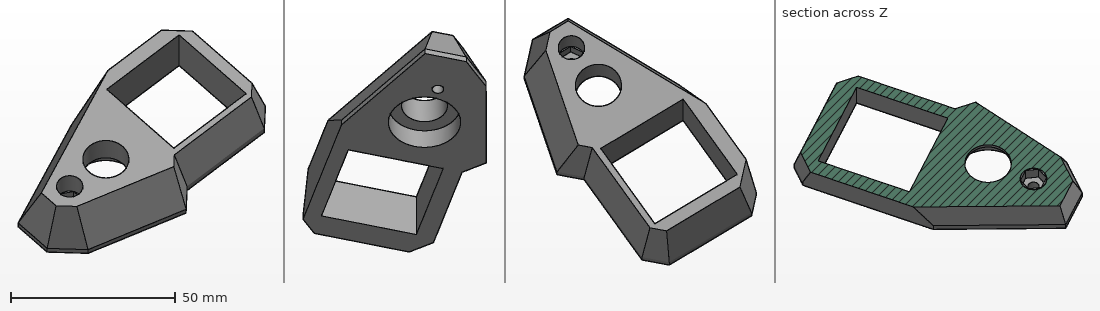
import cadquery as cq
import math

width = 47.0
length = 85.0
height = 16.0
rim_height = 2.0

upright = 0.0
upper_lean = 4.0
lower_lean = 6.0
flank_lean = 7.0

head_right = 41.0
shoulder_y = 47.0
left_corner = 5.0
right_corner = 6.0
shoulder_step = width - head_right
left_bend_y = 37.0
nose_left = 16.0
nose_right = 29.0
nose_chamfer = 8.8

window_size = 30.0
window_left = 5.0
window_bottom = 47.0
hole_x = 24.0
button_y = 29.0
button_diameter = 14.0
button_recess_diameter = 22.0
button_recess_depth = 7.0
screw_y = 14.0
screw_diameter = 3.5
screw_head_diameter = 8.0
screw_head_depth = 8.0
hex_depth = 4.0
hex_sides = 6

footprint = [
    ((0, length - left_corner), upper_lean),
    ((left_corner, length), upper_lean),
    ((head_right - right_corner, length), upper_lean),
    ((head_right, length - right_corner), upper_lean),
    ((head_right, shoulder_y), upper_lean),
    ((width, shoulder_y - shoulder_step), flank_lean),
    ((nose_right + nose_chamfer, nose_chamfer), lower_lean),
    ((nose_right, 0), lower_lean),
    ((nose_left, 0), lower_lean),
    ((0, left_bend_y), upright),
]


def inset_line(start, end, inset):
    """Line through a clockwise edge moved inward, as (a, b, c) in a*x + b*y = c."""
    dx = end[0] - start[0]
    dy = end[1] - start[1]
    edge_length = math.hypot(dx, dy)
    a = dy / edge_length
    b = -dx / edge_length
    return a, b, a * start[0] + b * start[1] + inset


def crossing(first, second):
    """Point where two lines meet."""
    a1, b1, c1 = first
    a2, b2, c2 = second
    det = a1 * b2 - a2 * b1
    return (c1 * b2 - c2 * b1) / det, (a1 * c2 - a2 * c1) / det


def top_outline(corners, leans):
    """Footprint with every edge moved inward by the lean of its wall."""
    ends = corners[1:] + corners[:1]
    lines = [inset_line(start, end, lean) for start, end, lean in zip(corners, ends, leans)]
    return [crossing(lines[i - 1], lines[i]) for i in range(len(lines))]


def make_body():
    """Upright rim with a leaning-walled block on it."""
    corners = [corner for corner, lean in footprint]
    leans = [lean for corner, lean in footprint]
    rim = cq.Workplane("XY").polyline(corners).close().extrude(rim_height)
    block = (
        cq.Workplane("XY", origin=(0, 0, rim_height))
        .polyline(corners)
        .close()
        .workplane(offset=height - rim_height)
        .polyline(top_outline(corners, leans))
        .close()
        .loft(ruled=True, combine=True)
    )
    return rim.union(block).clean()


def make_bore(y, diameter, bottom, depth):
    """Round cutter on the centreline of the holes."""
    return cq.Workplane("XY", origin=(hole_x, y, bottom)).circle(diameter / 2).extrude(depth)


def make_window():
    """Square cutter through the head."""
    return (
        cq.Workplane("XY", origin=(window_left, window_bottom, 0))
        .rect(window_size, window_size, centered=False)
        .extrude(height)
    )


def make_button_hole():
    """Through hole that widens into a recess on the underside."""
    recess = make_bore(button_y, button_recess_diameter, 0, button_recess_depth)
    return make_bore(button_y, button_diameter, 0, height).union(recess)


def make_screw_hole():
    """Through hole with a round entry from the top and a hexagonal seat below it."""
    entry_bottom = height - screw_head_depth
    entry = make_bore(screw_y, screw_head_diameter, entry_bottom, screw_head_depth)
    seat = (
        cq.Workplane("XY", origin=(hole_x, screw_y, entry_bottom - hex_depth))
        .polygon(hex_sides, screw_head_diameter)
        .extrude(hex_depth)
    )
    return make_bore(screw_y, screw_diameter, 0, height).union(seat).union(entry)


result = make_body().cut(make_window()).cut(make_button_hole()).cut(make_screw_hole())